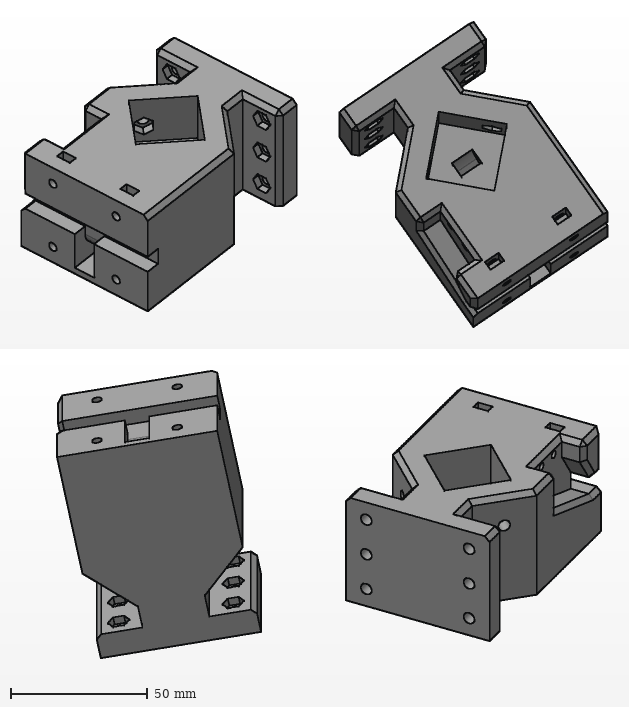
import cadquery as cq
import math

length = 86.8
width = 60.0
height = 45.0
back_y = length / 2
front_y = -length / 2
side_x = width / 2
chamfer = 2.0
tolerance = 0.01

flange_thickness = 10.0
neck_half_width = 12.5
neck_front_y = 24.4
shoulder_y = neck_front_y - (side_x - neck_half_width)
flange_y = back_y - flange_thickness

gap_bottom_z = 18.8
gap_top_z = 25.95
gap_depth = 6.0
gap_back_y = front_y + gap_depth

pocket_depth = 9.5
pocket_floor_x = -side_x + pocket_depth
pocket_back_y = -8.3
pocket_back_z = 28.4
pocket_front_y = -30.5
pocket_front_z = 36.3
pocket_hole_diameter = 3.0
pocket_hole_depth = 8.7
pocket_hole_ys = (-14.7, -24.1)
pocket_hole_z = 41.0

well_y = 4.5
well_half_diagonal = 18.05
well_floor_z = 25.0

nut_across_flats = 7.0
nut_across_corners = nut_across_flats / math.cos(math.pi / 6)
clearance_diameter = 4.5
well_nut_depth = 4.0
well_nut_offset = 7.1
well_nut_z = 32.3
well_hole_length = 17.4
flange_nut_depth = 3.0
flange_hole_x = 21.4
flange_hole_pitch = 15.0

jaw_hole_diameter = 3.6
jaw_hole_depth = 12.15
jaw_hole_pitch = 30.0
jaw_hole_x = jaw_hole_pitch / 2
jaw_hole_lower_z = 7.4
jaw_hole_upper_z = jaw_hole_lower_z + jaw_hole_pitch
nut_slot_width = 6.1
nut_slot_thickness = 3.6
nut_slot_y = -35.4

channel_width = 9.1
channel_floor_z = 2.9
channel_radius = 6.3
lip_top_z = 15.1
ramp_angle = math.radians(35)
outlet_front_y = 1.4
outlet_back_y = 7.4


def plan_outline():
    right_half = [
        (side_x, front_y),
        (side_x, shoulder_y),
        (neck_half_width, neck_front_y),
        (neck_half_width, flange_y),
        (side_x, flange_y),
        (side_x, back_y),
    ]
    left_half = [(-x, y) for x, y in reversed(right_half)]
    return right_half + left_half


def body():
    return cq.Workplane("XY").polyline(plan_outline()).close().extrude(height)


def jaw_gap():
    return cq.Workplane("XY").box(
        2 * width, 2 * gap_depth, gap_top_z - gap_bottom_z
    ).translate((0, front_y, (gap_top_z + gap_bottom_z) / 2))


def side_pocket():
    profile = [
        (pocket_back_y, height),
        (pocket_back_y, pocket_back_z),
        (gap_back_y, gap_bottom_z),
        (gap_back_y, gap_top_z),
        (pocket_front_y, pocket_front_z),
        (pocket_front_y, height),
    ]
    return (
        cq.Workplane("YZ", origin=(-side_x, 0, 0)).polyline(profile).close().extrude(pocket_depth)
    )


def bevel_edges(block):
    """Bevel the top rim, the front corners of the flange and the openings in the -X side."""
    picked = []
    for edge in block.edges().vals():
        box = edge.BoundingBox()
        on_top = box.zmin > height - tolerance
        on_back = box.ymin > back_y - tolerance
        on_front = box.ymax < front_y + tolerance
        on_left = box.xmax < -side_x + tolerance
        on_right = box.xmin > side_x - tolerance
        top_rim = on_top and not on_back and not on_front
        on_flange_front = abs(box.ymin - flange_y) < tolerance and abs(box.ymax - flange_y) < tolerance
        flange_corner = (on_left or on_right) and on_flange_front
        opening = on_left and box.zmin > tolerance and box.ymax < shoulder_y - tolerance
        lower_jaw_front = on_front and box.zmax < gap_top_z - tolerance
        if top_rim or flange_corner or (opening and not lower_jaw_front):
            picked.append(edge)
    return block.newObject(picked).chamfer(chamfer)


def along(origin, direction, x_direction=None):
    """Workplane at origin that extrudes along direction."""
    return cq.Workplane(cq.Plane(origin=origin, xDir=x_direction, normal=direction))


def nut_recess(origin, direction, x_direction, depth):
    return along(origin, direction, x_direction).polygon(6, nut_across_corners).extrude(depth)


def well():
    corners = [
        (well_half_diagonal, well_y),
        (0, well_y + well_half_diagonal),
        (-well_half_diagonal, well_y),
        (0, well_y - well_half_diagonal),
    ]
    return (
        cq.Workplane("XY", origin=(0, 0, well_floor_z))
        .polyline(corners).close().extrude(height - well_floor_z)
    )


def well_fastener(side):
    """Nut recess and clearance hole from a rear wall of the well out to the shoulder."""
    across = well_half_diagonal / 2 + well_nut_offset * math.cos(math.pi / 4)
    origin = (side * across, well_y + well_half_diagonal - across, well_nut_z)
    outward = (side, 1, 0)
    hole = along(origin, outward).circle(clearance_diameter / 2).extrude(well_hole_length)
    return nut_recess(origin, outward, (0, 0, 1), well_nut_depth).union(hole)


def flange_fasteners():
    """Three nut recesses with through holes on each wing of the flange."""
    cutter = cq.Workplane("XY")
    for x in (-flange_hole_x, flange_hole_x):
        for step in (-1, 0, 1):
            origin = (x, flange_y, height / 2 + step * flange_hole_pitch)
            recess = nut_recess(origin, (0, 1, 0), (1, 0, 0), flange_nut_depth)
            hole = along(origin, (0, 1, 0)).circle(clearance_diameter / 2).extrude(flange_thickness)
            cutter = cutter.add(recess.union(hole))
    return cutter.combine()


def jaw_fasteners():
    """Four blind holes in the jaw faces, with nut slots from the top across the upper two."""
    cutter = cq.Workplane("XY")
    slot_floor_z = jaw_hole_upper_z - nut_slot_width / 2
    for x in (-jaw_hole_x, jaw_hole_x):
        for z in (jaw_hole_lower_z, jaw_hole_upper_z):
            hole = along((x, front_y, z), (0, 1, 0)).circle(jaw_hole_diameter / 2)
            cutter = cutter.add(hole.extrude(jaw_hole_depth))
        slot = along((x, nut_slot_y, slot_floor_z), (0, 0, 1)).rect(nut_slot_width, nut_slot_thickness)
        cutter = cutter.add(slot.extrude(height - slot_floor_z))
    return cutter.combine()


def pocket_holes():
    cutter = cq.Workplane("XY")
    for y in pocket_hole_ys:
        hole = along((pocket_floor_x, y, pocket_hole_z), (1, 0, 0)).circle(pocket_hole_diameter / 2)
        cutter = cutter.add(hole.extrude(pocket_hole_depth))
    return cutter.combine()


def on_arc(center, angle):
    """Point (y, z) on a channel arc, with the angle measured from straight down."""
    return (
        center[0] + channel_radius * math.sin(angle),
        center[1] - channel_radius * math.cos(angle),
    )


def channel():
    lip = (gap_back_y + channel_radius, lip_top_z)
    roof_start = on_arc(lip, 0)
    roof_ramp_y = outlet_front_y - (well_floor_z - roof_start[1]) / math.tan(ramp_angle)

    top_center_y = outlet_back_y - channel_radius
    top_center = (top_center_y, well_floor_z)
    ramp_end = on_arc(top_center, ramp_angle)
    bottom_center_z = channel_floor_z + channel_radius
    ramp_rise = ramp_end[1] - on_arc((0, bottom_center_z), ramp_angle)[1]
    bottom_center_y = (
        ramp_end[0] - ramp_rise / math.tan(ramp_angle) - channel_radius * math.sin(ramp_angle)
    )
    bottom_center = (bottom_center_y, bottom_center_z)

    return (
        cq.Workplane("YZ", origin=(-channel_width / 2, 0, 0))
        .moveTo(front_y, channel_floor_z)
        .lineTo(*on_arc(bottom_center, 0))
        .threePointArc(on_arc(bottom_center, ramp_angle / 2), on_arc(bottom_center, ramp_angle))
        .lineTo(*ramp_end)
        .threePointArc(
            on_arc(top_center, (ramp_angle + math.pi / 2) / 2), (outlet_back_y, well_floor_z)
        )
        .lineTo(outlet_front_y, well_floor_z)
        .lineTo(roof_ramp_y, roof_start[1])
        .lineTo(*roof_start)
        .threePointArc(on_arc(lip, -math.pi / 4), (gap_back_y, lip_top_z))
        .lineTo(gap_back_y, gap_bottom_z)
        .lineTo(front_y, gap_bottom_z)
        .close()
        .extrude(channel_width)
    )


result = (
    bevel_edges(body().cut(jaw_gap()).cut(side_pocket()))
    .cut(well())
    .cut(well_fastener(-1))
    .cut(well_fastener(1))
    .cut(flange_fasteners())
    .cut(jaw_fasteners())
    .cut(pocket_holes())
    .cut(channel())
)